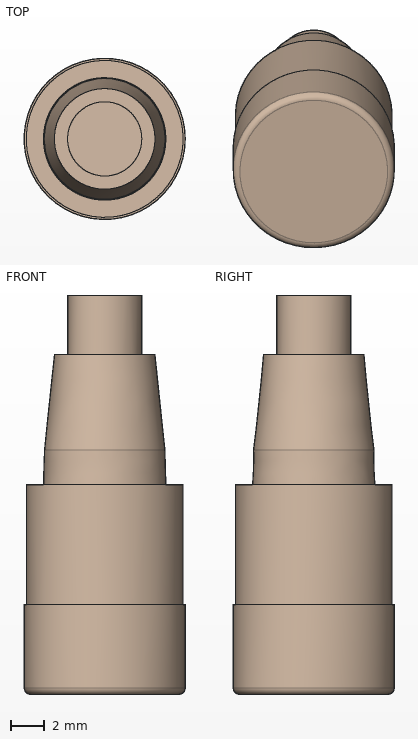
import cadquery as cq

total_height = 23.6
collar_top = 5.3
barrel_top = 12.41
sleeve_top = 14.47
cone_top = 20.1

collar_diameter = 9.53
barrel_diameter = 9.27
sleeve_base_diameter = 7.25
sleeve_top_diameter = 7.13
cone_top_diameter = 5.95
cable_diameter = 4.4

base_fillet = 0.4


def cylinder(diameter, bottom, top):
    """Solid cylinder on the Z axis between two heights."""
    return cq.Workplane("XY").workplane(offset=bottom).circle(diameter / 2).extrude(top - bottom)


def make_housing():
    """Collar with a rounded base edge, carrying a slightly narrower barrel."""
    collar = cylinder(collar_diameter, 0, collar_top).faces("<Z").edges().fillet(base_fillet)
    barrel = cylinder(barrel_diameter, collar_top, barrel_top)
    return collar.union(barrel)


def make_strain_relief():
    """Slightly drafted sleeve, tapered cone and cable stub, standing on the housing."""
    half_profile = [
        (0, barrel_top),
        (sleeve_base_diameter / 2, barrel_top),
        (sleeve_top_diameter / 2, sleeve_top),
        (cone_top_diameter / 2, cone_top),
        (cable_diameter / 2, cone_top),
        (cable_diameter / 2, total_height),
        (0, total_height),
    ]
    return cq.Workplane("XZ").polyline(half_profile).close().revolve(360, (0, 0, 0), (0, 1, 0))


housing = make_housing()
strain_relief = make_strain_relief()

result = cq.Compound.makeCompound([housing.val(), strain_relief.val()])